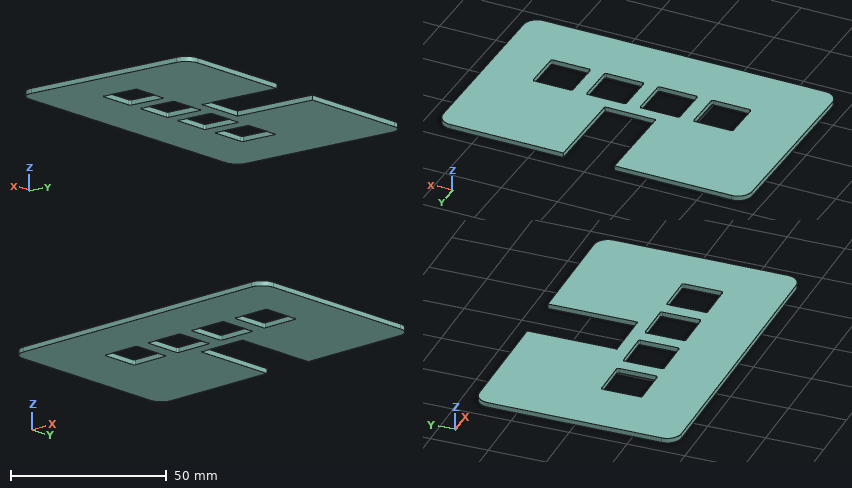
import cadquery as cq

length = 110.0
width = 70.0
thickness = 1.8
corner_radius = 5.0

notch_width = 18.0
notch_depth = 31.0
notch_center_x = 0.8

window_count = 4
window_size = 14.0
window_radius = 0.5
window_pitch = 19.0
row_center_x = 2.1
row_center_y = -7.6


def rounded_plate():
    return cq.Workplane("XY").box(length, width, thickness).edges("|Z").fillet(corner_radius)


def notch():
    center_y = (width - notch_depth) / 2
    return cq.Workplane("XY").center(notch_center_x, center_y).rect(notch_width, notch_depth).extrude(
        thickness, both=True
    )


def switch_windows():
    return (
        cq.Workplane("XY")
        .center(row_center_x, row_center_y)
        .rarray(window_pitch, 1.1, window_count, 1)
        .rect(window_size, window_size)
        .extrude(thickness, both=True)
        .edges("|Z")
        .fillet(window_radius)
    )


result = rounded_plate().cut(notch()).cut(switch_windows())